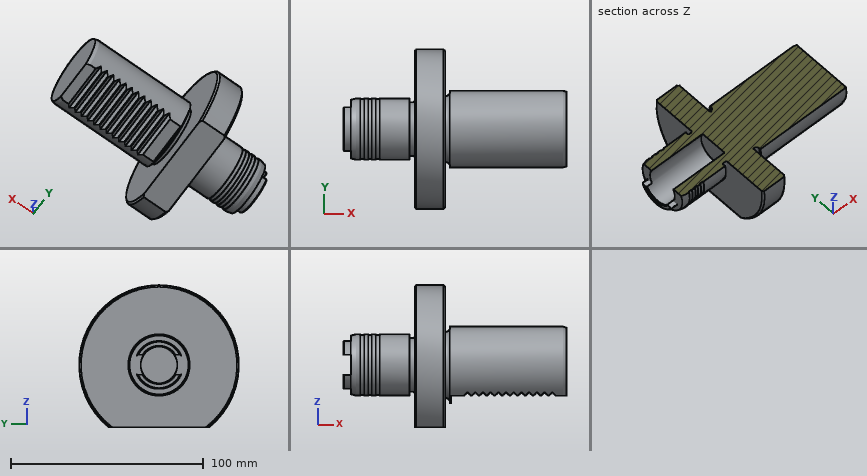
import cadquery as cq
import math


flange_diameter = 83.0
flange_thickness = 16.0
flange_chamfer = 1.0
flange_flat_depth = 32.35

shank_diameter = 40.0
shank_length = 63.0
shank_chamfer_length = 2.0
shank_chamfer_height = 0.6
relief_width = 2.35
relief_root_radius = 17.2
relief_fillet = 2.5
rack_flat_depth = 16.0
rack_flat_start = 3.0
notch_count = 12
notch_pitch = 4.0
notch_depth = 1.8
first_notch_x = 11.5

spigot_diameter = 31.9
neck_diameter = 28.0
neck_length = 2.5
neck_fillet = 0.7
spigot_rear_chamfer = 0.3
spigot_front_x = -49.0
nose_taper_length = 2.7
nose_taper_angle = 15.0
land_diameter = 32.0
land_width = 2.1
groove_diameter = 31.3
groove_widths = (2.1, 1.75, 2.1)
bore_diameter = 19.0
bore_depth = 36.0

lug_length = 4.0
lug_outer_diameter = 25.0
lug_gap = 10.4
lug_chamfer = 0.5
lug_root_fillet = 0.4


def revolve_about_x(profile):
    """Turn a closed (x, radius) profile around the X axis."""
    return profile.close().revolve(360, (0, 0, 0), (1, 0, 0))


def make_flange():
    disc = cq.Workplane("YZ").circle(flange_diameter / 2).extrude(-flange_thickness)
    disc = disc.edges().chamfer(flange_chamfer)
    below_flat = cq.Workplane("XY").box(
        2 * flange_thickness, flange_diameter, flange_diameter
    ).translate((-flange_thickness / 2, 0, -flange_flat_depth - flange_diameter / 2))
    return disc.cut(below_flat)


def make_shank():
    """Plain shank; its front end is buried in the flange so that the two fuse."""
    radius = shank_diameter / 2
    buried_x = -flange_thickness / 2
    relief_rise = relief_fillet - math.sqrt(relief_fillet**2 - relief_width**2)
    mid_x = relief_width / 2
    mid_rise = relief_fillet - math.sqrt(relief_fillet**2 - mid_x**2)
    profile = (
        cq.Workplane("XY")
        .moveTo(buried_x, 0)
        .lineTo(buried_x, relief_root_radius)
        .lineTo(0, relief_root_radius)
        .threePointArc(
            (mid_x, relief_root_radius + mid_rise),
            (relief_width, relief_root_radius + relief_rise),
        )
        .lineTo(relief_width, radius)
        .lineTo(shank_length - shank_chamfer_length, radius)
        .lineTo(shank_length, radius - shank_chamfer_height)
        .lineTo(shank_length, 0)
    )
    return revolve_about_x(profile)


def cut_rack(shank):
    """Cut the flat under the shank and the row of V notches across it."""
    flat_length = shank_length - rack_flat_start
    flat = cq.Workplane("XY").box(
        flat_length, shank_diameter, shank_diameter, centered=(False, True, False)
    ).translate((rack_flat_start, 0, -rack_flat_depth - shank_diameter))
    shank = shank.cut(flat)
    for index in range(notch_count):
        root_x = first_notch_x + index * notch_pitch
        notch = (
            cq.Workplane("XZ")
            .moveTo(root_x, notch_depth - rack_flat_depth)
            .lineTo(root_x - notch_depth, -rack_flat_depth)
            .lineTo(root_x + notch_depth, -rack_flat_depth)
            .close()
            .extrude(shank_diameter / 2, both=True)
        )
        shank = shank.cut(notch)
    return shank


def make_spigot():
    spigot_radius = spigot_diameter / 2
    land_radius = land_diameter / 2
    groove_radius = groove_diameter / 2
    nose_radius = land_radius - nose_taper_length * math.tan(math.radians(nose_taper_angle))
    flange_front_x = -flange_thickness
    spigot_rear_x = flange_front_x - neck_length
    neck_radius = neck_diameter / 2

    profile = cq.Workplane("XY").moveTo(spigot_front_x, 0).lineTo(spigot_front_x, nose_radius)
    x = spigot_front_x + nose_taper_length
    for groove_width in groove_widths:
        profile = profile.lineTo(x, land_radius).lineTo(x + land_width, land_radius)
        x += land_width
        profile = profile.lineTo(x, groove_radius).lineTo(x + groove_width, groove_radius)
        x += groove_width
    profile = (
        profile.lineTo(x, spigot_radius)
        .lineTo(spigot_rear_x - spigot_rear_chamfer, spigot_radius)
        .lineTo(spigot_rear_x, spigot_radius - spigot_rear_chamfer)
        .lineTo(spigot_rear_x, neck_radius)
        .lineTo(flange_front_x - neck_fillet, neck_radius)
        .radiusArc((flange_front_x, neck_radius + neck_fillet), -neck_fillet)
        .lineTo(flange_front_x, 0)
    )
    return revolve_about_x(profile)


def make_lugs():
    """Two opposed ring segments left standing on either side of a straight slot."""
    outer_radius = lug_outer_diameter / 2
    inner_radius = bore_diameter / 2
    tip_x = spigot_front_x - lug_length
    profile = (
        cq.Workplane("XY")
        .moveTo(spigot_front_x, inner_radius)
        .lineTo(tip_x + lug_chamfer, inner_radius)
        .lineTo(tip_x, inner_radius + lug_chamfer)
        .lineTo(tip_x, outer_radius - lug_chamfer)
        .lineTo(tip_x + lug_chamfer, outer_radius)
        .lineTo(spigot_front_x, outer_radius)
    )
    ring = revolve_about_x(profile)
    slot = cq.Workplane("XY").box(lug_length, lug_outer_diameter, lug_gap).translate(
        (spigot_front_x - lug_length / 2, 0, 0)
    )
    return ring.cut(slot)


def fillet_lug_roots(front_part):
    root_edges = front_part.edges("|Y").edges(cq.selectors.BoxSelector(
        (spigot_front_x - lug_chamfer, -spigot_diameter, -lug_gap),
        (spigot_front_x + lug_chamfer, spigot_diameter, lug_gap),
    ))
    return root_edges.fillet(lug_root_fillet)


def make_bore():
    front_face = cq.Workplane("YZ", origin=(spigot_front_x, 0, 0))
    return front_face.circle(bore_diameter / 2).extrude(bore_depth)


front = make_flange().union(make_spigot()).cut(make_bore()).union(make_lugs())
front = fillet_lug_roots(front)
result = front.union(cut_rack(make_shank()))